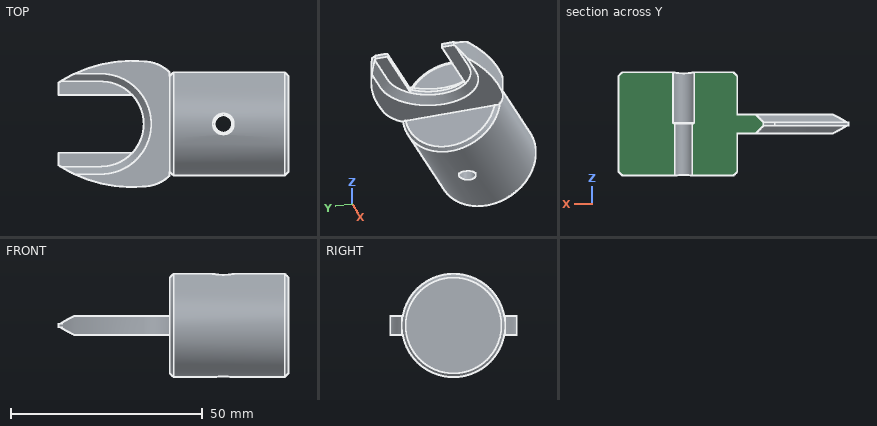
import cadquery as cq
import math

total_length = 60.0
fork_length = 29.0
shank_length = total_length - fork_length

shank_diameter = 27.0
shank_chamfer = 1.0

fork_width = 33.0
fork_thickness = 5.0
side_radius = 35.0
widest_x = 19.2
shoulder_radius = 10.0
shoulder_x = 22.5

mouth_width = 15.0
mouth_radius = 11.1
mouth_center_x = 11.1
tip_corner_radius = 0.25
lip_thickness = 1.0
bevel_height = (fork_thickness - lip_thickness) / 2
bevel_angle = 45.0

cross_hole_x = 43.0
upper_hole_diameter = 5.5
lower_hole_diameter = 4.5
step_cone_angle = 118.0


def side_half_width(x):
    """Half width of the fork at position x on the long side arc."""
    arc_center_y = fork_width / 2 - side_radius
    return arc_center_y + math.sqrt(side_radius**2 - (x - widest_x) ** 2)


def make_shank():
    return (
        cq.Workplane("YZ", origin=(fork_length, 0, 0))
        .circle(shank_diameter / 2)
        .extrude(shank_length)
        .edges("%CIRCLE")
        .chamfer(shank_chamfer)
    )


def make_fork_blank():
    tip_y = side_half_width(0)
    shoulder_y = side_half_width(shoulder_x)
    root_y = shank_diameter / 2
    return (
        cq.Workplane("XY", origin=(0, 0, -fork_thickness / 2))
        .moveTo(0, -tip_y)
        .lineTo(0, tip_y)
        .threePointArc((widest_x, fork_width / 2), (shoulder_x, shoulder_y))
        .radiusArc((fork_length, root_y), shoulder_radius)
        .lineTo(fork_length, -root_y)
        .radiusArc((shoulder_x, -shoulder_y), shoulder_radius)
        .threePointArc((widest_x, -fork_width / 2), (0, -tip_y))
        .close()
        .extrude(fork_thickness)
    )


def round_ended_slot(z):
    """Closed outline of a slot that is open past the prong tips and rounded towards the shank."""
    open_end_x = -mouth_radius
    return (
        cq.Workplane("XY", origin=(0, 0, z))
        .moveTo(open_end_x, -mouth_radius)
        .lineTo(mouth_center_x, -mouth_radius)
        .threePointArc((mouth_center_x + mouth_radius, 0), (mouth_center_x, mouth_radius))
        .lineTo(open_end_x, mouth_radius)
        .close()
    )


def make_bevelled_recess():
    """Recess in the upper face whose sloped wall widens from the lip to the face."""
    return round_ended_slot(lip_thickness / 2).extrude(bevel_height, taper=-bevel_angle)


def make_mouth_slot():
    """Through opening: the round recess outline limited to the width between the prongs."""
    limit_length = 4 * mouth_radius
    round_part = round_ended_slot(-fork_thickness / 2).extrude(fork_thickness)
    width_limit = cq.Workplane("XY").box(limit_length, mouth_width, fork_thickness)
    return round_part.intersect(width_limit.translate((mouth_center_x, 0, 0)))


def make_cross_hole():
    """Revolved cutter: wide upper bore, cone ending at mid height, narrow lower bore."""
    upper_radius = upper_hole_diameter / 2
    lower_radius = lower_hole_diameter / 2
    cone_height = (upper_radius - lower_radius) / math.tan(math.radians(step_cone_angle / 2))
    reach = shank_diameter / 2
    return (
        cq.Workplane("XZ", origin=(cross_hole_x, 0, 0))
        .moveTo(0, -reach)
        .lineTo(lower_radius, -reach)
        .lineTo(lower_radius, 0)
        .lineTo(upper_radius, cone_height)
        .lineTo(upper_radius, reach)
        .lineTo(0, reach)
        .close()
        .revolve()
    )


def round_tip_corners(fork):
    """Round the inner vertical corner at the tip of each prong."""
    corner_box = cq.selectors.BoxSelector(
        (-tip_corner_radius, -mouth_width / 2 - tip_corner_radius, -lip_thickness),
        (tip_corner_radius, mouth_width / 2 + tip_corner_radius, lip_thickness),
    )
    return fork.edges("|Z").edges(corner_box).fillet(tip_corner_radius)


upper_recess = make_bevelled_recess()
lower_recess = upper_recess.mirror("XY")

fork = make_fork_blank().cut(upper_recess).cut(lower_recess)
fork = round_tip_corners(fork.cut(make_mouth_slot()))
shank = make_shank().cut(make_cross_hole())
result = shank.union(fork)